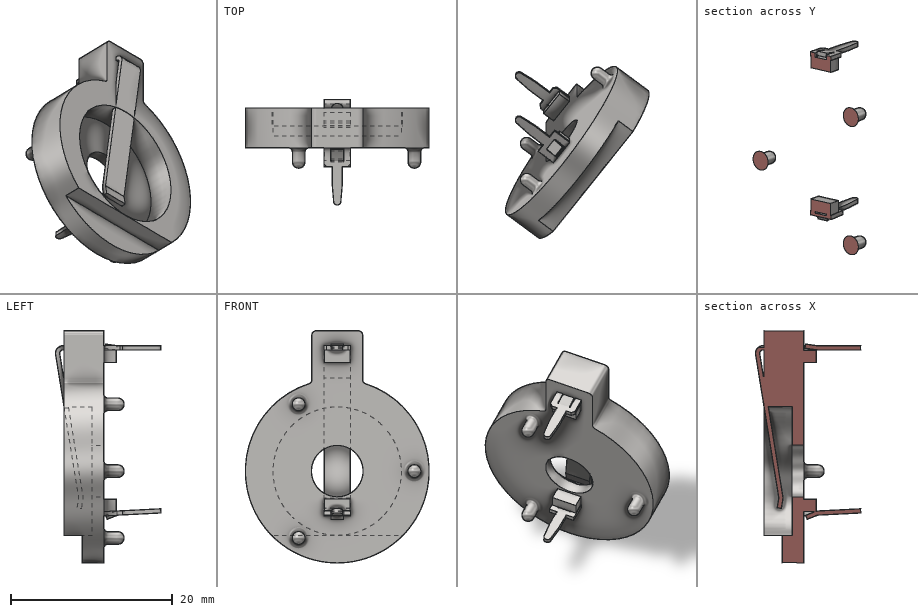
import cadquery as cq
import math

TOTAL_HEIGHT = 28.7

DISC_DIAMETER = 22.7
DISC_RADIUS = DISC_DIAMETER / 2
BODY_DEPTH = 4.95
TAB_WIDTH = 6.3
TAB_TOP = TOTAL_HEIGHT - DISC_RADIUS
TAB_CORNER_RADIUS = 0.6
TAB_ROOT_FILLET = 0.5
CENTRE_HOLE_DIAMETER = 6.35
POCKET_DIAMETER = 15.87
POCKET_FLOOR = 1.44
LEDGE_TOP = -7.98
LEDGE_DEPTH = 2.67

PEG_COUNT = 3
PEG_CIRCLE_RADIUS = 9.53
PEG_RADIUS = 1.58 / 2
PEG_LENGTH = 2.53
PEG_BASE_FILLET = 0.52

SHEET = 0.55
PLATE_WIDTH = 3.3
PLATE_LENGTH = 2.32
UPPER_PLATE_CHAMFER = 0.35
TERMINAL_LENGTH = 7.05
TERMINAL_WIDTH = 1.25
TAPER_START = 4.55
TERMINAL_TIP_RADIUS = 0.45
EMBEDDED_LENGTH = 0.57
UPPER_CONTACT_TOP = 15.5
LOWER_CONTACT_TOP = -5.0
LOWER_CONTACT_TILT = 2.9

TONGUE_WIDTH = 1.5
TONGUE_SLOT_WIDTH = 1.66
TONGUE_HINGE = 1.6
TONGUE_LENGTH = 1.5
UPPER_TONGUE_ANGLE = 8.0
LOWER_TONGUE_ANGLE = 18.5

BLOCK_WIDTH = 3.15
BLOCK_SIZE = 1.55

SPRING_WIDTH = 3.21
BACK_BULGE = 1.03
BEND_RADIUS = 0.7
SPRING_ANGLE = 9.2
SPRING_KNEE_Z = -3.3
SPRING_END_LENGTH = 1.3
SPRING_DIMPLE_DIAMETER = 1.5
SPRING_DIMPLE_Y = 4.74
SPRING_DIMPLE_DEPTH = 0.23


def cylinder_y(radius, start, end):
    return cq.Workplane("XZ", origin=(0, start, 0)).circle(radius).extrude(start - end)


def make_body():
    disc = cylinder_y(DISC_RADIUS, 0, BODY_DEPTH)
    tab = (
        cq.Workplane("XY")
        .box(TAB_WIDTH, BODY_DEPTH, TAB_TOP, centered=(True, False, False))
        .edges("|Y and >Z")
        .fillet(TAB_CORNER_RADIUS)
    )
    body = disc.union(tab)
    root_z = math.sqrt(DISC_RADIUS**2 - (TAB_WIDTH / 2) ** 2)
    for side in (-1, 1):
        root = cq.NearestToPointSelector((side * TAB_WIDTH / 2, BODY_DEPTH / 2, root_z))
        body = body.edges("|Y").edges(root).fillet(TAB_ROOT_FILLET)

    body = body.cut(cylinder_y(CENTRE_HOLE_DIAMETER / 2, 0, BODY_DEPTH))
    body = body.cut(cylinder_y(POCKET_DIAMETER / 2, POCKET_FLOOR, BODY_DEPTH))
    rim_cut = cq.Workplane("XY", origin=(0, LEDGE_DEPTH, LEDGE_TOP)).box(
        DISC_DIAMETER, BODY_DEPTH, DISC_DIAMETER, centered=(True, False, False)
    )
    return body.cut(rim_cut.translate((0, 0, -DISC_DIAMETER)))


def make_peg():
    """Round peg along -Y with a flared base and a domed end."""
    flare_radius = PEG_RADIUS + PEG_BASE_FILLET
    dome_start = PEG_LENGTH - PEG_RADIUS
    flare_inset = PEG_BASE_FILLET * (1 - math.sqrt(0.5))
    dome_mid = PEG_RADIUS * math.sqrt(0.5)
    return (
        cq.Workplane("XY")
        .lineTo(flare_radius, 0)
        .threePointArc((PEG_RADIUS + flare_inset, -flare_inset), (PEG_RADIUS, -PEG_BASE_FILLET))
        .lineTo(PEG_RADIUS, -dome_start)
        .threePointArc((dome_mid, -dome_start - dome_mid), (0, -PEG_LENGTH))
        .close()
        .revolve(360, (0, 0), (0, 1))
    )


def make_contact(tongue_angle, corner_chamfer=0):
    """Flat contact along -Y with its top at Z = 0; a positive angle lifts the tongue tip."""
    taper_end = TERMINAL_LENGTH - TERMINAL_TIP_RADIUS
    plate = cq.Workplane("XY").box(
        PLATE_WIDTH, PLATE_LENGTH + EMBEDDED_LENGTH, SHEET, centered=(True, False, False)
    ).translate((0, -PLATE_LENGTH, -SHEET))
    if corner_chamfer:
        plate = plate.edges("|Z and <Y").chamfer(corner_chamfer)
    terminal = (
        cq.Workplane("XY")
        .moveTo(-TERMINAL_WIDTH / 2, 0)
        .lineTo(-TERMINAL_WIDTH / 2, -TAPER_START)
        .lineTo(-TERMINAL_TIP_RADIUS, -taper_end)
        .threePointArc((0, -TERMINAL_LENGTH), (TERMINAL_TIP_RADIUS, -taper_end))
        .lineTo(TERMINAL_WIDTH / 2, -TAPER_START)
        .lineTo(TERMINAL_WIDTH / 2, 0)
        .close()
        .extrude(-SHEET)
    )
    slot = cq.Workplane("XY").box(
        TONGUE_SLOT_WIDTH, TONGUE_HINGE, SHEET, centered=(True, False, False)
    ).translate((0, -TONGUE_HINGE, -SHEET))
    hinge_z = -SHEET if tongue_angle > 0 else 0
    tongue = (
        cq.Workplane("XY")
        .box(TONGUE_WIDTH, TONGUE_LENGTH, SHEET, centered=(True, False, False))
        .translate((0, -TONGUE_HINGE, -SHEET))
        .rotate((0, -TONGUE_HINGE, hinge_z), (1, -TONGUE_HINGE, hinge_z), tongue_angle)
    )
    return plate.union(terminal).cut(slot).union(tongue)


def make_block(bottom):
    return cq.Workplane("XY", origin=(0, -BLOCK_SIZE, bottom)).box(
        BLOCK_WIDTH, BLOCK_SIZE, BLOCK_SIZE, centered=(True, False, False)
    )


def make_spring():
    """Strip that leaves the back of the tab, bends over and slopes down into the pocket."""
    angle = math.radians(SPRING_ANGLE)
    mid_z = UPPER_CONTACT_TOP - SHEET / 2
    bend_y = BODY_DEPTH + BACK_BULGE - SHEET / 2 - BEND_RADIUS
    bend_z = mid_z - BEND_RADIUS
    half_turn = (math.pi / 2 - angle) / 2
    arm_y = bend_y + BEND_RADIUS * math.cos(angle)
    arm_z = bend_z - BEND_RADIUS * math.sin(angle)
    knee_y = arm_y - (arm_z - SPRING_KNEE_Z) * math.tan(angle)
    start_y = BODY_DEPTH - EMBEDDED_LENGTH
    path = (
        cq.Workplane("YZ")
        .moveTo(start_y, mid_z)
        .lineTo(bend_y, mid_z)
        .threePointArc(
            (bend_y + BEND_RADIUS * math.cos(half_turn), bend_z + BEND_RADIUS * math.sin(half_turn)),
            (arm_y, arm_z),
        )
        .lineTo(knee_y, SPRING_KNEE_Z)
        .lineTo(
            knee_y + SPRING_END_LENGTH * math.sin(angle),
            SPRING_KNEE_Z - SPRING_END_LENGTH * math.cos(angle),
        )
    )
    strip = (
        cq.Workplane("XZ", origin=(0, start_y, mid_z))
        .rect(SPRING_WIDTH, SHEET)
        .sweep(path, transition="right")
    )
    dimple = (
        cq.Workplane("XY", origin=(0, SPRING_DIMPLE_Y, UPPER_CONTACT_TOP))
        .circle(SPRING_DIMPLE_DIAMETER / 2)
        .extrude(-SPRING_DIMPLE_DEPTH)
    )
    return strip.cut(dimple)


result = make_body()

for index in range(PEG_COUNT):
    peg = make_peg().translate((PEG_CIRCLE_RADIUS, 0, 0))
    result = result.union(peg.rotate((0, 0, 0), (0, 1, 0), index * 360 / PEG_COUNT))

upper_contact = make_contact(UPPER_TONGUE_ANGLE, UPPER_PLATE_CHAMFER)
result = result.union(upper_contact.translate((0, 0, UPPER_CONTACT_TOP)))
result = result.union(make_block(UPPER_CONTACT_TOP - SHEET - BLOCK_SIZE))

lower_contact = make_contact(-LOWER_TONGUE_ANGLE).rotate((0, 0, 0), (1, 0, 0), -LOWER_CONTACT_TILT)
result = result.union(lower_contact.translate((0, 0, LOWER_CONTACT_TOP)))
result = result.union(make_block(LOWER_CONTACT_TOP))

result = result.union(make_spring())